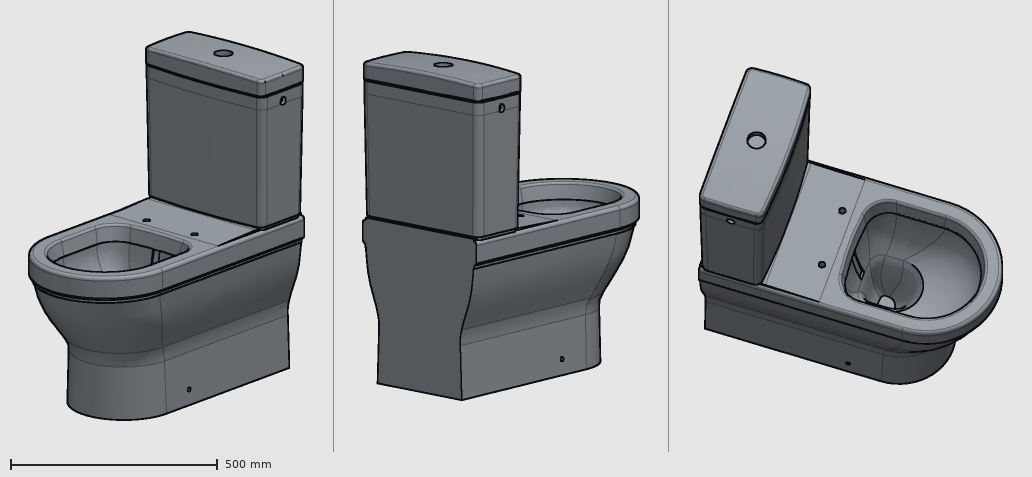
import cadquery as cq
import math


total_height = 797.0
total_depth = 704.0
lid_width = 384.0

foot_height = 135.5
bowl_base = 175.5
bowl_top = 332.0
foot_levels = [(0.0, 137.0, 588.0), (foot_height, 132.0, 585.0)]
neck_levels = [foot_levels[-1], (151.5, 132.0, 588.0), (bowl_base, 137.0, 601.0)]
bowl_levels = [
    neck_levels[-1],
    (215.0, 151.0, 634.0),
    (255.0, 164.0, 662.0),
    (295.0, 171.5, 682.0),
    (bowl_top, 175.5, 693.0),
]

rim_half_width = 185.0
rim_top = 401.0
rim_round = 9.5
rim_chamfer = 7.0
rim_bottom = 340.0
band_inset = 8.0
deck_depth = 304.0
deck_half_width = 175.5
deck_rise = 5.0

mouth_top = (rim_top, 141.0, 326.0, 662.0, 64.0)
mouth_bottom = (359.0, 131.5, 335.0, 652.0, 60.0)
mouth_round = 7.0
edge_tolerance = 1.0
dish_levels = [
    (mouth_bottom[0], 135.0, 332.0, 655.5, 60.0),
    (315.0, 127.5, 338.0, 638.0, 56.0),
    (275.0, 104.0, 348.0, 582.0, 45.5),
    (247.0, 72.0, 357.0, 508.0, 32.0),
]
trench_levels = [
    dish_levels[-1],
    (199.0, 41.5, 370.0, 480.0, 17.5),
    (143.5, 30.0, 386.0, 451.0, 13.0),
    (127.5, 25.0, 396.0, 438.5, 10.0),
]
rear_bow_ratio = 0.1
spout_width = 22.0
spout_depth = 6.0

tank_foot_z = 400.0
tank_bottom = 408.0
tank_break = 714.0
tank_top = 745.0
tank_half_width_low = 186.5
tank_half_width_high = 191.0
tank_back_low = 5.0
tank_back_high = 1.0
tank_front_low = 167.0
tank_front_high = 171.0
tank_corner = 19.0
front_bow = 9.5
tank_foot_inset = 5.5
tank_bottom_round = 4.0

lid_bottom = 749.5
lid_front = 172.0
lid_side_bow = 2.0
lid_corner = 16.0
lid_round = 8.0
lid_groove = 5.5
lid_dome_radius = 2791.0
button_diameter = 45.0
button_depth = 15.0

seat_hole_diameter = 16.0
seat_hole_x = 77.0
seat_hole_y = 279.0
seat_hole_depth = 40.0
inlet_diameter = 20.0
inlet_y = 84.5
inlet_z = 719.0
inlet_depth = 12.0
screw_diameter = 10.0
screw_y = 365.0
screw_z = 40.0
screw_depth = 16.0


def d_outline(z, half_width, depth):
    """Plan outline with a flat back, straight sides and a semicircular front."""
    shoulder = -(depth - half_width)
    return (
        cq.Workplane("XY", origin=(0, 0, z))
        .moveTo(-half_width, 0)
        .lineTo(-half_width, shoulder)
        .threePointArc((0, -depth), (half_width, shoulder))
        .lineTo(half_width, 0)
        .close()
        .val()
    )


def mouth_outline(z, half_width, rear, front, corner):
    """Plan outline of the opening: bowed rear, rounded corners, semicircular front."""
    shoulder = -(front - half_width)
    corner_y = -rear - rear_bow_ratio * half_width
    wire = (
        cq.Workplane("XY", origin=(0, 0, z))
        .moveTo(half_width, shoulder)
        .lineTo(half_width, corner_y)
        .threePointArc((0, -rear), (-half_width, corner_y))
        .lineTo(-half_width, shoulder)
        .threePointArc((0, -front), (half_width, shoulder))
        .close()
        .val()
    )
    corners = [v for v in wire.Vertices() if abs(v.Y - corner_y) < edge_tolerance]
    return wire.fillet2D(corner, corners)


def tank_outline(z, half_width, back, front, corner=tank_corner, side_bow=0.0):
    """Plan outline of tank or lid: flat back, bowed front, sides straight or bowed."""
    corner_x = half_width - side_bow
    corner_y = -(front - front_bow)
    middle_y = (corner_y - back) / 2
    plan = cq.Workplane("XY", origin=(0, 0, z)).moveTo(-corner_x, -back)
    if side_bow:
        plan = plan.threePointArc((-half_width, middle_y), (-corner_x, corner_y))
    else:
        plan = plan.lineTo(-corner_x, corner_y)
    plan = plan.threePointArc((0, -front), (corner_x, corner_y))
    if side_bow:
        plan = plan.threePointArc((half_width, middle_y), (corner_x, -back))
    else:
        plan = plan.lineTo(corner_x, -back)
    wire = plan.close().val()
    return wire.fillet2D(corner, wire.Vertices())


def loft(wires, ruled=False):
    return cq.Workplane(obj=cq.Solid.makeLoft(wires, ruled))


def prism(wire, height):
    return cq.Workplane(obj=cq.Solid.extrudeLinear(wire, [], cq.Vector(0, 0, height)))


def make_pan():
    foot = loft([d_outline(*level) for level in foot_levels], ruled=True)
    neck = loft([d_outline(*level) for level in neck_levels])
    bowl = loft([d_outline(*level) for level in bowl_levels])
    band_plan = d_outline(bowl_top, rim_half_width - band_inset, total_depth - band_inset)
    band = prism(band_plan, rim_bottom - bowl_top)
    rim = prism(d_outline(rim_bottom, rim_half_width, total_depth), rim_top - rim_bottom)
    rim = rim.faces(">Z").edges("not(>Y)").fillet(rim_round)
    rim = rim.faces("<Z").edges("not(>Y)").chamfer(rim_chamfer)
    deck = (
        cq.Workplane("YZ")
        .polyline([(0, rim_top - rim_round), (-deck_depth, rim_top - rim_round), (-deck_depth, rim_top),
                   (-tank_front_low, rim_top + deck_rise), (0, rim_top + deck_rise)])
        .close()
        .extrude(deck_half_width, both=True)
    )
    return foot.union(neck).union(bowl).union(band).union(rim).union(deck)


def make_cavity():
    mouth = loft([mouth_outline(*mouth_bottom), mouth_outline(*mouth_top)], ruled=True)
    dish = loft([mouth_outline(*level) for level in dish_levels])
    trench = loft([mouth_outline(*level) for level in trench_levels])
    top_z, top_y = dish_levels[0][0], dish_levels[0][2]
    low_z, low_y = dish_levels[-1][0], dish_levels[-1][2]
    spout = (
        cq.Workplane("YZ")
        .polyline([(-top_y + spout_depth, top_z), (-top_y - spout_depth, top_z),
                   (-low_y - spout_depth, low_z), (-low_y + spout_depth, low_z)])
        .close()
        .extrude(spout_width / 2, both=True)
    )
    return mouth.union(dish).union(trench).union(spout)


def make_tank():
    low = (tank_half_width_low, tank_back_low, tank_front_low)
    high = (tank_half_width_high, tank_back_high, tank_front_high)
    tapered = loft([tank_outline(tank_bottom, *low), tank_outline(tank_break, *high)], ruled=True)
    tapered = tapered.faces("<Z").edges().fillet(tank_bottom_round)
    collar = prism(tank_outline(tank_break, *high), tank_top - tank_break)
    foot_plan = tank_outline(tank_foot_z, *low).offset2D(-tank_foot_inset)[0]
    foot = prism(foot_plan, tank_break - tank_foot_z)
    groove_plan = tank_outline(tank_break, *high).offset2D(-lid_groove)[0]
    spacer = prism(groove_plan, lid_bottom - tank_break)
    return tapered.union(collar).union(foot).union(spacer)


def make_lid():
    plan = tank_outline(lid_bottom, lid_width / 2, 0, lid_front, lid_corner, lid_side_bow)
    lid = prism(plan, total_height - lid_bottom + lid_round)
    dome = cq.Workplane("XY").sphere(lid_dome_radius)
    rim_to_center = math.sqrt(lid_dome_radius**2 - (button_diameter / 2) ** 2)
    dome = dome.translate((0, -lid_front / 2, total_height - rim_to_center))
    lid = lid.intersect(dome).faces(">Z").edges().fillet(lid_round)
    hole_floor = cq.Workplane("XY", origin=(0, -lid_front / 2, total_height - button_depth))
    return lid.cut(hole_floor.circle(button_diameter / 2).extrude(2 * button_depth))


def side_holes(diameter, y, z, half_width, depth):
    """A pair of blind holes sunk from both sides to the given depth below half_width."""
    drill = cq.Workplane("YZ", origin=(half_width - depth, y, z)).circle(diameter / 2).extrude(2 * depth)
    return drill.union(drill.mirror("YZ"))


def seat_holes():
    return (
        cq.Workplane("XY", origin=(0, -seat_hole_y, rim_top - seat_hole_depth))
        .pushPoints([(-seat_hole_x, 0), (seat_hole_x, 0)])
        .circle(seat_hole_diameter / 2)
        .extrude(2 * seat_hole_depth)
    )


def make_hollow_pan():
    """Pan with the bowl cut out and the top edge of the mouth rounded."""
    top_z, half_width, rear, front, _ = mouth_top
    mouth_edges = cq.selectors.BoxSelector(
        (-half_width - edge_tolerance, -front - edge_tolerance, top_z - edge_tolerance),
        (half_width + edge_tolerance, -rear + edge_tolerance, top_z + edge_tolerance),
        boundingbox=True,
    )
    return make_pan().cut(make_cavity()).edges(mouth_edges).fillet(mouth_round)


result = make_hollow_pan().union(make_tank()).union(make_lid())
result = result.cut(seat_holes())
result = result.cut(side_holes(inlet_diameter, -inlet_y, inlet_z, tank_half_width_high, inlet_depth))
result = result.cut(side_holes(screw_diameter, -screw_y, screw_z, foot_levels[0][1], screw_depth))